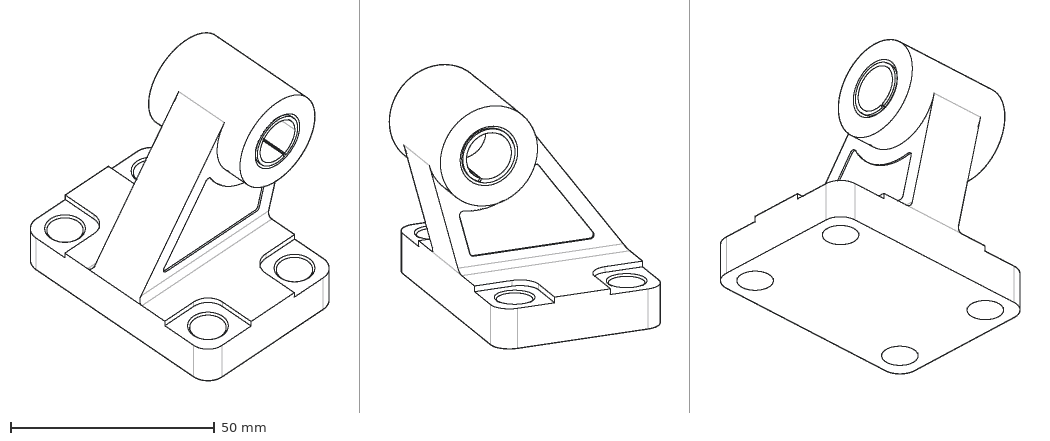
import cadquery as cq
import math

PLATE_LENGTH = 65.0
PLATE_DEPTH = 45.0
PLATE_HEIGHT = 12.0
CORNER_RADIUS = 5.0

SEAT_SIZE = 15.0
SEAT_DEPTH = 1.5
HOLE_DIAMETER = 9.0
HOLE_CHAMFER = 0.5
HOLE_INSET = SEAT_SIZE / 2

HUB_DIAMETER = 26.0
HUB_RADIUS = HUB_DIAMETER / 2
HUB_LENGTH = 32.0
HUB_Y = 40.5
HUB_Z = 45.0
BORE_CHAMFER = 0.7

WEB_THICKNESS = 16.0
FOOT_FILLET = 1.5
RIM_WIDTH = 4.0
POCKET_DEPTH = 0.5
POCKET_CORNER_RADIUS = 1.0

BUSHING_OUTER_DIAMETER = 14.0
BUSHING_INNER_DIAMETER = 12.0
BUSHING_LENGTH = HUB_LENGTH / 2
SLIT_WIDTH = 0.5
SLIT_ANGLE = 22.0


def cylinder_along_x(diameter, length, start_x):
    """Cylinder on the pivot axis, running from start_x towards +X."""
    return (
        cq.Workplane("YZ", origin=(start_x, HUB_Y, HUB_Z))
        .circle(diameter / 2)
        .extrude(length)
    )


def hub_tangent_point(y, z, side):
    """Point where a line from (y, z) touches the hub; side (+1 or -1) picks the tangent."""
    from_hub_y = y - HUB_Y
    from_hub_z = z - HUB_Z
    direction = math.atan2(from_hub_z, from_hub_y)
    spread = math.acos(HUB_RADIUS / math.hypot(from_hub_y, from_hub_z))
    angle = direction + side * spread
    return HUB_Y + HUB_RADIUS * math.cos(angle), HUB_Z + HUB_RADIUS * math.sin(angle)


def web_side_outline(start_x):
    """Side outline of the web: from the plate's top edges, tangent to the hub."""
    front_foot = (0, PLATE_HEIGHT)
    rear_foot = (PLATE_DEPTH, PLATE_HEIGHT)
    return cq.Workplane("YZ", origin=(start_x, 0, 0)).polyline([
        front_foot,
        rear_foot,
        hub_tangent_point(*rear_foot, 1),
        hub_tangent_point(*front_foot, -1),
    ]).close()


def make_plate():
    plate = (
        cq.Workplane("XY")
        .box(PLATE_LENGTH, PLATE_DEPTH, PLATE_HEIGHT, centered=(True, False, False))
        .edges("|Z")
        .fillet(CORNER_RADIUS)
    )
    seat_z = PLATE_HEIGHT - SEAT_DEPTH
    hole_radius = HOLE_DIAMETER / 2
    seat_block = 2 * SEAT_SIZE
    for corner_x in (-PLATE_LENGTH / 2, PLATE_LENGTH / 2):
        for corner_y in (0, PLATE_DEPTH):
            seat = (
                cq.Workplane("XY", origin=(corner_x, corner_y, seat_z))
                .rect(seat_block, seat_block)
                .extrude(SEAT_DEPTH)
                .edges("|Z")
                .fillet(CORNER_RADIUS)
            )
            hole_x = corner_x - math.copysign(HOLE_INSET, corner_x)
            hole_y = HOLE_INSET if corner_y == 0 else PLATE_DEPTH - HOLE_INSET
            hole = cq.Workplane("XY", origin=(hole_x, hole_y, 0)).circle(hole_radius).extrude(seat_z)
            mouth = (
                cq.Workplane("XY", origin=(hole_x, hole_y, seat_z))
                .circle(hole_radius + HOLE_CHAMFER)
                .workplane(offset=-HOLE_CHAMFER)
                .circle(hole_radius)
                .loft(ruled=True)
            )
            plate = plate.cut(seat).cut(hole).cut(mouth)
    return plate


def make_web():
    half_web = WEB_THICKNESS / 2
    half_foot = half_web + FOOT_FILLET
    fillet_top = PLATE_HEIGHT + FOOT_FILLET
    arc_sag = FOOT_FILLET * (1 - math.sqrt(0.5))
    fillet_mid_x = half_web + arc_sag
    fillet_mid_z = PLATE_HEIGHT + arc_sag
    web_top = HUB_Z + HUB_RADIUS
    front_section = (
        cq.Workplane("XZ")
        .moveTo(-half_foot, PLATE_HEIGHT)
        .lineTo(half_foot, PLATE_HEIGHT)
        .threePointArc((fillet_mid_x, fillet_mid_z), (half_web, fillet_top))
        .lineTo(half_web, web_top)
        .lineTo(-half_web, web_top)
        .lineTo(-half_web, fillet_top)
        .threePointArc((-fillet_mid_x, fillet_mid_z), (-half_foot, PLATE_HEIGHT))
        .close()
        .extrude(-(HUB_Y + HUB_RADIUS))
    )
    return web_side_outline(-half_foot).extrude(2 * half_foot).intersect(front_section)


def make_pocket(start_x):
    """Shallow pocket in one side of the web, with an even rim to the outline and the hub."""
    hub_clearance = cylinder_along_x(HUB_DIAMETER + 2 * RIM_WIDTH, POCKET_DEPTH, start_x)
    return (
        web_side_outline(start_x)
        .offset2D(-RIM_WIDTH)
        .extrude(POCKET_DEPTH)
        .cut(hub_clearance)
        .edges("|X")
        .fillet(POCKET_CORNER_RADIUS)
    )


def make_bracket():
    hub = cylinder_along_x(HUB_DIAMETER, HUB_LENGTH, -HUB_LENGTH / 2)
    bracket = make_plate().union(make_web())
    for pocket_x in (-WEB_THICKNESS / 2, WEB_THICKNESS / 2 - POCKET_DEPTH):
        bracket = bracket.cut(make_pocket(pocket_x))
    bore = cylinder_along_x(BUSHING_OUTER_DIAMETER, HUB_LENGTH, -HUB_LENGTH / 2)
    bored_hub = (
        hub.cut(bore)
        .faces("<X or >X")
        .edges(cq.selectors.RadiusNthSelector(0))
        .chamfer(BORE_CHAMFER)
    )
    return bracket.cut(bore).union(bored_hub)


def make_bushing(start_x):
    outside = cylinder_along_x(BUSHING_OUTER_DIAMETER, BUSHING_LENGTH, start_x)
    inside = cylinder_along_x(BUSHING_INNER_DIAMETER, BUSHING_LENGTH, start_x)
    slit = (
        cq.Workplane("XY", origin=(start_x, HUB_Y, HUB_Z))
        .box(BUSHING_LENGTH, SLIT_WIDTH, BUSHING_OUTER_DIAMETER, centered=(False, True, False))
        .rotate((0, HUB_Y, HUB_Z), (1, HUB_Y, HUB_Z), 180 + SLIT_ANGLE)
    )
    return outside.cut(inside).cut(slit)


bracket = make_bracket()
bushings = [make_bushing(start_x) for start_x in (-BUSHING_LENGTH, 0)]

result = cq.Compound.makeCompound([
    bracket.val(),
    *[bushing.val() for bushing in bushings],
])